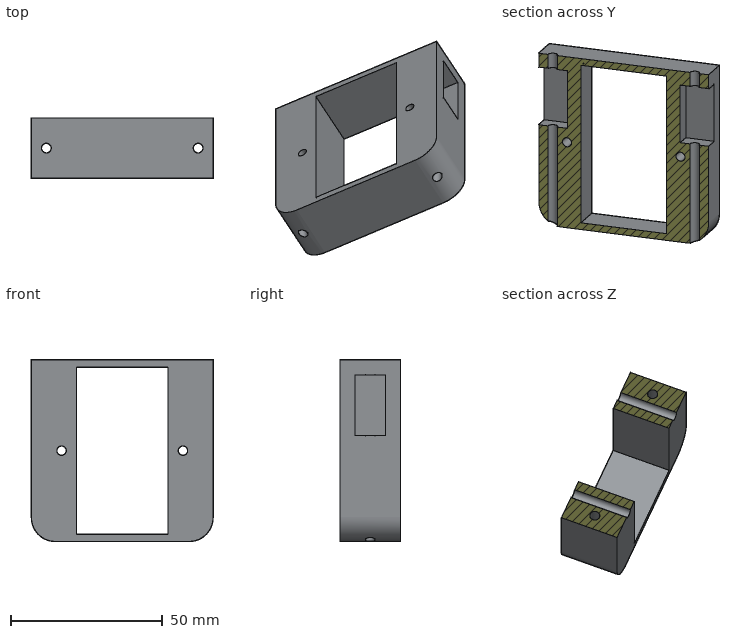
import cadquery as cq

width = 60.0
depth = 20.0
height = 60.0
corner_radius = 8.0

window_width = 30.0
rail_thickness = 2.5
window_height = height - 2 * rail_thickness

front_hole_diameter = 3.0
front_hole_spacing = 40.0
vertical_hole_diameter = 3.1
vertical_hole_spacing = 50.05

pocket_width = 9.95
pocket_height = 20.0
pocket_depth = 10.0
pocket_top_margin = 5.05


def make_frame():
    """Block with rounded lower corners and a rectangular window."""
    block = cq.Workplane("XY").box(width, depth, height)
    block = block.edges("|Y and <Z").fillet(corner_radius)
    window = cq.Workplane("XY").box(window_width, depth, window_height)
    return block.cut(window)


def make_hole_pair(plane, spacing, diameter, length):
    """Two cylinders spaced along X, centred on the given plane."""
    return (
        cq.Workplane(plane)
        .pushPoints([(-spacing / 2, 0), (spacing / 2, 0)])
        .circle(diameter / 2)
        .extrude(length / 2, both=True)
    )


def make_pockets():
    """Rectangular pocket cutters entering from the -X and +X sides."""
    center_x = (pocket_depth - width) / 2
    center_z = (height - pocket_height) / 2 - pocket_top_margin
    pocket = cq.Workplane("XY").box(pocket_depth, pocket_width, pocket_height)
    left_pocket = pocket.translate((center_x, 0, center_z))
    return left_pocket.union(left_pocket.mirror("YZ"))


front_holes = make_hole_pair("XZ", front_hole_spacing, front_hole_diameter, depth)
vertical_holes = make_hole_pair("XY", vertical_hole_spacing, vertical_hole_diameter, height)

result = make_frame().cut(front_holes).cut(vertical_holes).cut(make_pockets())